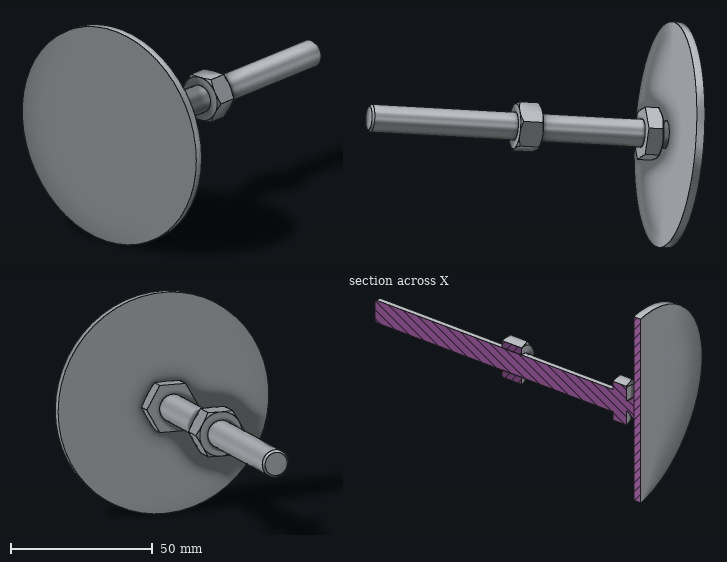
import cadquery as cq
import math

total_length = 112.0
plate_diameter = 80.0
plate_thickness = 3.0

rod_diameter = 10.0
tip_chamfer = 0.8
neck_length = 2.8
neck_base_diameter = rod_diameter
neck_top_diameter = neck_base_diameter - 2 * neck_length
head_height = 6.0
head_across_flats = 17.0
head_face_diameter = 16.1

nut_height = 8.4
nut_across_flats = 16.0
nut_start = 50.1

corner_chamfer_angle = math.radians(30)

neck_start = plate_thickness
head_start = neck_start + neck_length
rod_start = head_start + head_height


def disc(diameter, start, length):
    """Cylinder on the Y axis from Y = start."""
    plane = cq.Workplane("XZ", origin=(0, start, 0))
    return plane.circle(diameter / 2).extrude(-length)


def hexagon(across_flats, face_diameter, start, height, chamfer_far_end):
    """Hexagonal prism with corners on X and conical corner chamfers."""
    face_radius = face_diameter / 2
    corner_radius = across_flats / 2 / math.cos(math.pi / 6)
    chamfer_height = (corner_radius - face_radius) * math.tan(corner_chamfer_angle)
    end = start + height

    prism = (
        cq.Workplane("XZ", origin=(0, start, 0))
        .polygon(6, 2 * corner_radius)
        .extrude(-height)
    )
    envelope = (
        cq.Workplane("XY")
        .moveTo(0, start)
        .lineTo(face_radius, start)
        .lineTo(corner_radius, start + chamfer_height)
    )
    if chamfer_far_end:
        envelope = envelope.lineTo(corner_radius, end - chamfer_height).lineTo(face_radius, end)
    else:
        envelope = envelope.lineTo(corner_radius, end)
    envelope = envelope.lineTo(0, end).close().revolve(360, (0, 0, 0), (0, 1, 0))
    return prism.intersect(envelope)


def make_plate():
    return disc(plate_diameter, 0, plate_thickness)


def make_stud():
    """Rod, hexagonal head and conical neck in one piece."""
    rod = disc(rod_diameter, rod_start, total_length - rod_start)
    rod = rod.faces(">Y").chamfer(tip_chamfer)
    head = hexagon(head_across_flats, head_face_diameter, head_start, head_height, chamfer_far_end=False)
    neck = (
        cq.Workplane("XY")
        .moveTo(0, neck_start)
        .lineTo(neck_base_diameter / 2, neck_start)
        .lineTo(neck_top_diameter / 2, head_start)
        .lineTo(0, head_start)
        .close()
        .revolve(360, (0, 0, 0), (0, 1, 0))
    )
    return rod.union(head).union(neck)


def make_nut():
    blank = hexagon(nut_across_flats, nut_across_flats, nut_start, nut_height, chamfer_far_end=True)
    return blank.cut(disc(rod_diameter, nut_start, nut_height))


plate = make_plate()
stud = make_stud()
nut = make_nut()

result = cq.Compound.makeCompound([plate.val(), stud.val(), nut.val()])